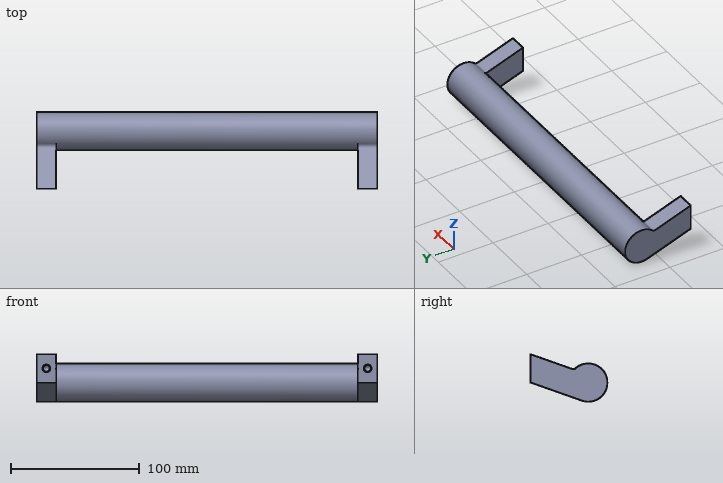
import cadquery as cq
import math

length = 265.0
depth = 60.0
height = 37.0
bar_diameter = 30.0
foot_width = 15.0
fillet_radius = 3.0
hole_diameter = 5.0
hole_depth = 10.0
hole_mouth_diameter = 6.0
drill_point_angle = 118.0

bar_radius = bar_diameter / 2
foot_reach = depth - bar_radius
foot_top = height - bar_radius

foot_angle = math.asin(bar_radius / foot_reach)
tangent_length = math.sqrt(foot_reach**2 - bar_radius**2)

top_offset = (foot_top - foot_reach * math.tan(foot_angle)) * math.cos(foot_angle)
fillet_offset = top_offset + fillet_radius
fillet_distance = bar_radius + fillet_radius
fillet_run = math.sqrt(fillet_distance**2 - fillet_offset**2)


def foot_point(along, across):
    """Turn a position along and square to the foot into (Y, Z)."""
    outward = along * math.cos(foot_angle) - across * math.sin(foot_angle)
    upward = along * math.sin(foot_angle) + across * math.cos(foot_angle)
    return (-outward, upward)


def make_bar():
    return cq.Workplane("YZ").circle(bar_radius).extrude(length)


def make_foot(start_x):
    """Slanted foot, blended into the top of the bar by a concave fillet."""
    to_bar = math.atan2(-fillet_offset, -fillet_run)
    middle_angle = (to_bar - math.pi / 2) / 2
    fillet_middle = foot_point(
        fillet_run + fillet_radius * math.cos(middle_angle),
        fillet_offset + fillet_radius * math.sin(middle_angle),
    )
    bar_share = bar_radius / fillet_distance
    fillet_start = foot_point(fillet_run * bar_share, fillet_offset * bar_share)
    return (
        cq.Workplane("YZ", origin=(start_x, 0, 0))
        .moveTo(0, 0)
        .lineTo(*foot_point(0, -bar_radius))
        .lineTo(*foot_point(tangent_length, -bar_radius))
        .lineTo(-foot_reach, foot_top)
        .lineTo(*foot_point(fillet_run, top_offset))
        .threePointArc(fillet_middle, fillet_start)
        .close()
        .extrude(foot_width)
    )


def make_hole(center_x):
    """Blind hole with a conical end and a countersunk mouth, in the middle of the mounting face."""
    hole_radius = hole_diameter / 2
    mouth_radius = hole_mouth_diameter / 2
    tip_length = hole_radius / math.tan(math.radians(drill_point_angle / 2))
    return (
        cq.Workplane("XY", origin=(center_x, -foot_reach, foot_top / 2))
        .lineTo(mouth_radius, 0)
        .lineTo(hole_radius, mouth_radius - hole_radius)
        .lineTo(hole_radius, hole_depth)
        .lineTo(0, hole_depth + tip_length)
        .close()
        .revolve(360, (0, 0, 0), (0, 1, 0))
    )


result = make_bar()
for foot_start in (0, length - foot_width):
    result = result.union(make_foot(foot_start))
    result = result.cut(make_hole(foot_start + foot_width / 2))